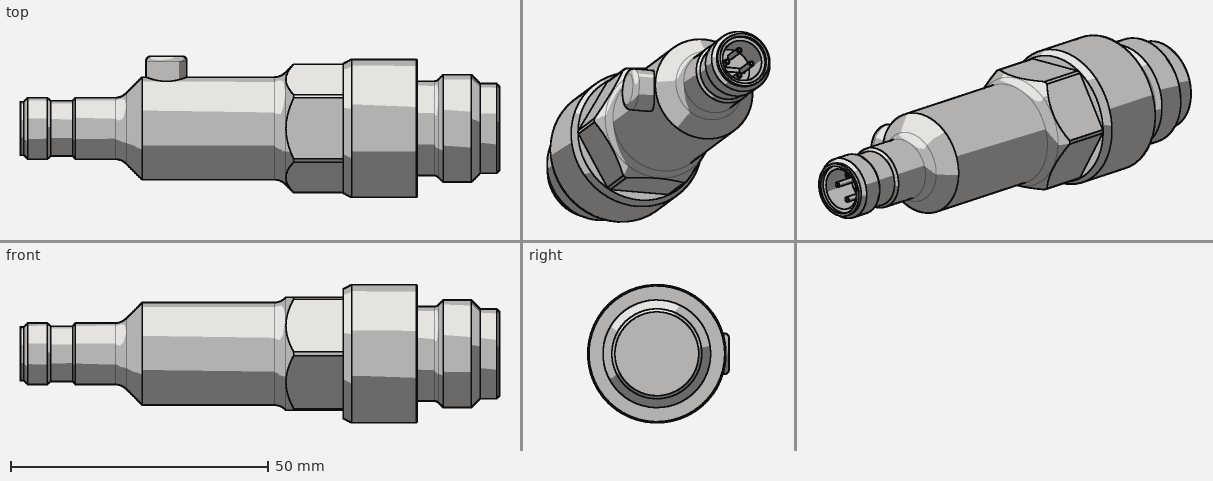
import cadquery as cq
import math

nose_end = 0.7
nose_flange_full = 1.45
plug_flange_end = 5.2
plug_groove_start = 5.9
plug_groove_end = 10.2
plug_neck_start = 10.7
neck_fillet_start = 18.45
body_end = 49.4
collar_start = 62.75
collar_full = 64.4
collar_end = 77.2
rear_neck_end = 80.45
rear_ring_end = 87.7
total_length = 93.2

nose_diameter = 10.47
plug_diameter = 12.0
plug_groove_diameter = 10.8
body_diameter = 20.0
collar_diameter = 26.9
rear_neck_diameter = 18.4
rear_ring_diameter = 20.95
rear_nose_diameter = 17.5

cone_angle = math.radians(45)
flare_fillet_radius = 3.0
rear_flare_fillet_radius = 1.2
collar_chamfer_height = 0.85
collar_rear_chamfer = 0.25
rear_nose_chamfer = 0.6

hex_across_flats = 22.0
hex_corner_diameter = 25.0

socket_mouth_diameter = 9.45
socket_diameter = 8.0
socket_mouth_depth = 0.7
socket_depth = 8.0
pin_count = 4
pin_diameter = 1.0
pin_circle_radius = 2.5
pin_recess = 2.2
pin_tip_chamfer = 0.2
pin_root_depth = 1.0
floor_groove_length = 2 * pin_circle_radius + pin_diameter
floor_groove_width = 0.85
floor_groove_depth = 0.2

button_x = 28.4
button_diameter = 8.0
button_top = 14.08
button_edge_fillet = 1.0


def x_cylinder(diameter, start, end):
    """Solid cylinder along X between two stations."""
    return cq.Workplane("YZ", origin=(start, 0, 0)).circle(diameter / 2).extrude(end - start)


def flare(profile, start_x, start_radius, end_radius, fillet_radius):
    """Turn outward from a cylinder by a tangent arc, then run up a cone to end_radius."""
    def arc_point(angle):
        return (
            start_x + fillet_radius * math.sin(angle),
            start_radius + fillet_radius * (1 - math.cos(angle)),
        )

    cone_x, cone_radius = arc_point(cone_angle)
    cone_end_x = cone_x + (end_radius - cone_radius) / math.tan(cone_angle)
    return (
        profile.threePointArc(arc_point(cone_angle / 2), (cone_x, cone_radius))
        .lineTo(cone_end_x, end_radius)
    )


def turned_body():
    """Revolved outline of everything round about the X axis."""
    nose_r = nose_diameter / 2
    plug_r = plug_diameter / 2
    groove_r = plug_groove_diameter / 2
    body_r = body_diameter / 2
    hex_r = hex_corner_diameter / 2
    collar_r = collar_diameter / 2
    rear_neck_r = rear_neck_diameter / 2
    ring_r = rear_ring_diameter / 2
    rear_nose_r = rear_nose_diameter / 2
    rear_nose_start = rear_ring_end + (ring_r - rear_nose_r) / math.tan(cone_angle)

    profile = (
        cq.Workplane("XY")
        .moveTo(0, 0)
        .lineTo(0, nose_r)
        .lineTo(nose_end, nose_r)
        .lineTo(nose_flange_full, plug_r)
        .lineTo(plug_flange_end, plug_r)
        .lineTo(plug_groove_start, groove_r)
        .lineTo(plug_groove_end, groove_r)
        .lineTo(plug_neck_start, plug_r)
        .lineTo(neck_fillet_start, plug_r)
    )
    profile = flare(profile, neck_fillet_start, plug_r, body_r, flare_fillet_radius)
    profile = profile.lineTo(body_end, body_r)
    profile = flare(profile, body_end, body_r, hex_r, flare_fillet_radius)
    profile = (
        profile.lineTo(collar_start, hex_r)
        .lineTo(collar_start, collar_r - collar_chamfer_height)
        .lineTo(collar_full, collar_r)
        .lineTo(collar_end - collar_rear_chamfer, collar_r)
        .lineTo(collar_end, collar_r - collar_rear_chamfer)
        .lineTo(collar_end, rear_neck_r)
        .lineTo(rear_neck_end, rear_neck_r)
    )
    profile = flare(profile, rear_neck_end, rear_neck_r, ring_r, rear_flare_fillet_radius)
    profile = (
        profile.lineTo(rear_ring_end, ring_r)
        .lineTo(rear_nose_start, rear_nose_r)
        .lineTo(total_length - rear_nose_chamfer, rear_nose_r)
        .lineTo(total_length, rear_nose_r - rear_nose_chamfer)
        .lineTo(total_length, 0)
        .close()
    )
    return profile.revolve(360, (0, 0, 0), (1, 0, 0))


def hex_flats_cutter():
    """Ring of material outside the hexagon, whose flats face +Z and -Z."""
    corner_to_corner = hex_across_flats / math.cos(math.pi / 6)
    length = collar_start - body_end
    hexagon = cq.Workplane("YZ", origin=(body_end, 0, 0)).polygon(6, corner_to_corner).extrude(length)
    return x_cylinder(collar_diameter, body_end, collar_start).cut(hexagon)


def side_button():
    """Round button standing on the +Y side, reaching down to the part's axis."""
    return (
        cq.Workplane("XZ", origin=(button_x, 0, 0))
        .circle(button_diameter / 2)
        .extrude(-button_top)
        .faces(">Y")
        .edges()
        .fillet(button_edge_fillet)
    )


def plug_socket():
    """Stepped blind bore in the plug end, with a shallow groove along Y in its floor."""
    mouth = x_cylinder(socket_mouth_diameter, 0, socket_mouth_depth)
    bore = x_cylinder(socket_diameter, 0, socket_depth)
    groove = (
        cq.Workplane("YZ", origin=(socket_depth, 0, 0))
        .rect(floor_groove_length, floor_groove_width)
        .extrude(floor_groove_depth)
    )
    return mouth.union(bore).union(groove)


def contact_pin(index):
    """One contact pin rooted in the socket floor."""
    angle = 2 * math.pi * index / pin_count
    pin = x_cylinder(pin_diameter, pin_recess, socket_depth + pin_root_depth)
    pin = pin.faces("<X").chamfer(pin_tip_chamfer)
    return pin.translate((0, pin_circle_radius * math.cos(angle), pin_circle_radius * math.sin(angle)))


result = turned_body().cut(hex_flats_cutter()).union(side_button()).cut(plug_socket())
for pin_index in range(pin_count):
    result = result.union(contact_pin(pin_index))